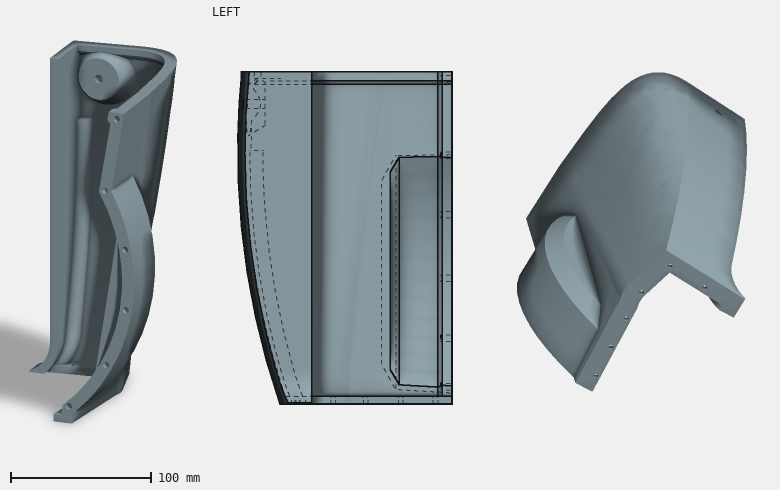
import cadquery as cq
import math

HEIGHT = 237.13
WALL = 6.4
BACK_WALL = 4.8
OVERSHOOT = 5.0
LEFT_LIMIT = -30.0

BACK_RADIUS = 555.0
BACK_APEX_Y = 152.83
BACK_APEX_Z = 181.0
BACK_REFERENCE_X = 50.0
BACK_SLOPE = (0.088, 0.106)

CORNER_X = (52.0, 49.8)
BEND_START = ((62.0, 85.0), (96.5, 57.7))
BEND_END = ((61.7, 73.5), (97.2, 48.0))
FRONT_X = (57.3, 97.7)
CORNER_HANDLE = (0.33, 0.40)
BEND_HANDLE = (0.33, 0.53)
HANDLE_SHRINK = (0.0, 0.22)
BEND_LEAN = 3.0
SECTION_COUNT = 5

LIP_EXTRA = 2.7
LIP_CHAMFER = 3.0
FRONT_LIP_DEPTH = 7.1
TOP_LIP_HEIGHT = 6.4
FLANGE_HEIGHT = 5.6
FLANGE_REACH = 15.0

LEFT_WALL = 6.6
LEFT_WALL_FRONT_Y = 100.2
FLARE_START_Z = 24.0
FLARE_REACH = 16.0
FLARE_TIP = 1.0
BEAD_SIZE = 8.5
BEAD_TOP_Z = 181.0

BULGE_RADIUS = 137.0
BULGE_RIGHT_X = 105.21
BULGE_CENTRE_Z = 111.0
BULGE_LEFT_X = 46.0
BULGE_DEPTH = 44.1
BULGE_CHAMFER = 6.4

BOSS_X = 24.0
BOSS_Z = 214.3
BOSS_FACE_Y = 133.7
BOSS_FACE_RADIUS = 15.5
BOSS_HALF_ANGLE = 31.0
BOSS_LENGTH = 19.0
BOSS_HOLE = 6.2

FRONT_HOLE = 4.7
FRONT_HOLE_DEPTH = 8.0
FRONT_HOLES_XZ = [(92.0, 232.3), (82.7, 177.6), (98.5, 135.2), (98.9, 90.0), (83.7, 47.2), (55.2, 12.7)]
FLANGE_HOLE = 3.3
FLANGE_HOLES_XY = [(13.5, 110.5), (43.3, 113.0), (51.0, 85.0), (50.3, 61.8), (48.8, 36.8), (47.2, 12.0)]


def blend(pair, z):
    """Value at height z, going straight from the bottom value to the top value."""
    share = z / HEIGHT
    return pair[0] + (pair[1] - pair[0]) * share


def blend_point(pair, z):
    bottom, top = pair
    return cq.Vector(blend((bottom[0], top[0]), z), blend((bottom[1], top[1]), z), z)


def back_y(x, z):
    """y of the outer face of the back wall."""
    drop = BACK_RADIUS - math.sqrt(BACK_RADIUS**2 - (z - BACK_APEX_Z) ** 2)
    return BACK_APEX_Y + blend(BACK_SLOPE, z) * (x - BACK_REFERENCE_X) - drop


def section(z, back_inset, side_inset, front_y, lip=0.0):
    """Closed outline at height z, moved in from the outer faces of the back and side walls."""
    corner_x = blend(CORNER_X, z)
    corner = cq.Vector(corner_x, back_y(corner_x, z), z)
    bend_start = blend_point(BEND_START, z)
    bend_end = blend_point(BEND_END, z)
    front = cq.Vector(blend(FRONT_X, z), 0, z)

    chord = bend_start - corner
    back_angle = math.atan(blend(BACK_SLOPE, z))
    chord_angle = math.atan2(chord.y, chord.x)
    leave_angle = blend((chord_angle, back_angle), z)
    leave = cq.Vector(math.cos(leave_angle), math.sin(leave_angle), 0)
    flat = (front - bend_end).normalized()
    flat_angle = math.atan2(flat.y, flat.x)
    arrive_angle = blend((chord_angle, flat_angle + math.radians(BEND_LEAN)), z)
    arrive = cq.Vector(math.cos(arrive_angle), math.sin(arrive_angle), 0)

    along_back = math.tan((back_angle - leave_angle) / 2) * side_inset
    back_direction = cq.Vector(math.cos(back_angle), math.sin(back_angle), 0)
    back_inward = cq.Vector(math.sin(back_angle), -math.cos(back_angle), 0)
    corner = corner + back_inward * back_inset - back_direction * along_back
    inward = cq.Vector(-side_inset, 0, 0)
    bend_start = bend_start + inward
    bend_end = bend_end + inward
    front = front + inward

    reach = (bend_start - corner).Length
    shrink = blend(HANDLE_SHRINK, z) * side_inset
    sweep = [
        corner,
        corner + leave * (reach * blend(CORNER_HANDLE, z) - shrink),
        bend_start - arrive * (reach * blend(BEND_HANDLE, z) - shrink),
        bend_start,
    ]
    bend = [bend_start, bend_start + arrive * ((bend_start - bend_end).Length / 2), bend_end]

    def on_flat(y, extra):
        share = (bend_end.y - y) / bend_end.y
        return bend_end + (front - bend_end) * share - cq.Vector(extra, 0, 0)

    points = [bend_end]
    if lip:
        points.append(on_flat(FRONT_LIP_DEPTH + LIP_CHAMFER, 0))
        points.append(on_flat(FRONT_LIP_DEPTH, lip))
    points.append(on_flat(front_y, lip))
    points.append(cq.Vector(LEFT_LIMIT, front_y, z))
    back_run = (corner.x - LEFT_LIMIT) / back_direction.x
    points.append(corner - back_direction * back_run)
    points.append(corner)

    edges = [cq.Edge.makeBezier(sweep), cq.Edge.makeBezier(bend)]
    edges += [cq.Edge.makeLine(a, b) for a, b in zip(points, points[1:])]
    return cq.Wire.assembleEdges(edges)


def envelope(z_low, z_high, back_inset, side_inset, front_y, lip=0.0):
    """Body bounded by the shell surface, moved in from the outer faces by the two insets."""
    step = (z_high - z_low) / (SECTION_COUNT - 1)
    wires = [section(z_low + i * step, back_inset, side_inset, front_y, lip) for i in range(SECTION_COUNT)]
    return cq.Workplane(cq.Solid.makeLoft(wires))


def shell_cavity():
    """Inside of the shell, narrowing at the top lip and the bottom flange."""
    lip_inset = WALL + LIP_EXTRA
    back_rise = lip_inset - BACK_WALL
    chamfer_z = HEIGHT - TOP_LIP_HEIGHT - LIP_EXTRA
    side_z = chamfer_z + LIP_EXTRA
    back_z = chamfer_z + back_rise
    front_y = -OVERSHOOT
    main = envelope(FLANGE_HEIGHT, chamfer_z, BACK_WALL, WALL, front_y, LIP_EXTRA)
    chamfer_wires = [
        section(chamfer_z, BACK_WALL, WALL, front_y, LIP_EXTRA),
        section(side_z, BACK_WALL + LIP_EXTRA, lip_inset, front_y, LIP_EXTRA),
        section(back_z, lip_inset, lip_inset, front_y, LIP_EXTRA),
    ]
    chamfer = cq.Workplane(cq.Solid.makeLoft(chamfer_wires, True))
    top = envelope(back_z, HEIGHT + OVERSHOOT, lip_inset, lip_inset, front_y, LIP_EXTRA)
    flange_face = cq.Face.makeFromWires(section(FLANGE_HEIGHT, FLANGE_REACH, FLANGE_REACH, front_y))
    flange_depth = cq.Vector(0, 0, -FLANGE_HEIGHT - OVERSHOOT)
    flange = cq.Workplane(cq.Solid.extrudeLinear(flange_face, flange_depth))
    return main, chamfer, top, flange


def bulge_body(profile):
    """Turn a (radius, y) profile about the bulge axis and keep the part beside the side wall."""
    centre_x = BULGE_RIGHT_X - BULGE_RADIUS
    body = (
        cq.Workplane("XY")
        .polyline([(0, profile[0][1])] + profile + [(0, profile[-1][1])])
        .close()
        .revolve(360, (0, 0, 0), (0, 1, 0))
        .translate((centre_x, 0, BULGE_CENTRE_Z))
    )
    width = BULGE_RIGHT_X - BULGE_LEFT_X + OVERSHOOT
    keep = (
        cq.Workplane("XY", origin=(BULGE_LEFT_X, 0, FLANGE_HEIGHT))
        .box(width, 2 * BACK_APEX_Y, HEIGHT - FLANGE_HEIGHT, centered=(False, True, False))
    )
    return body.intersect(keep)


def bulge_outside():
    """Outer form of the bulge, one wall thickness outside its cavity."""
    end_y = BULGE_DEPTH + WALL
    chamfer = BULGE_CHAMFER + WALL * (2 - math.sqrt(2))
    return bulge_body([(BULGE_RADIUS, 0), (BULGE_RADIUS, end_y - chamfer), (BULGE_RADIUS - chamfer, end_y)])


def bulge_cavity():
    """Inside of the bulge: front lip, wall and chamfered end."""
    inner = BULGE_RADIUS - WALL
    return bulge_body(
        [
            (inner - LIP_EXTRA, -OVERSHOOT),
            (inner - LIP_EXTRA, FRONT_LIP_DEPTH),
            (inner, FRONT_LIP_DEPTH + LIP_CHAMFER),
            (inner, BULGE_DEPTH - BULGE_CHAMFER),
            (inner - BULGE_CHAMFER, BULGE_DEPTH),
        ]
    )


FLARE_DROP = FLARE_START_Z - FLARE_TIP
FLARE_RADIUS = (FLARE_REACH**2 + FLARE_DROP**2) / (2 * FLARE_REACH)


def flare_x(z, radius):
    """x of the flare surface of the given radius; straight above the flare."""
    drop = max(FLARE_START_Z - z, 0)
    return math.sqrt(radius**2 - drop**2) - FLARE_RADIUS


def left_profile(bottom_x):
    """Open outline in the x-z plane: from bottom_x along the bottom and up the outer left side."""
    middle_z = (FLARE_START_Z + FLARE_TIP) / 2
    return (
        cq.Workplane("XZ", origin=(0, LEFT_WALL_FRONT_Y, 0))
        .moveTo(bottom_x, 0)
        .lineTo(-FLARE_REACH, 0)
        .lineTo(-FLARE_REACH, FLARE_TIP)
        .threePointArc((flare_x(middle_z, FLARE_RADIUS), middle_z), (0, FLARE_START_Z))
        .lineTo(0, HEIGHT)
    )


def left_wall(outer):
    """Upright plate curling outwards at its foot."""
    inner_radius = FLARE_RADIUS + LEFT_WALL
    middle_z = FLARE_START_Z / 2
    depth = BACK_APEX_Y + OVERSHOOT - LEFT_WALL_FRONT_Y
    profile = (
        left_profile(flare_x(0, inner_radius))
        .lineTo(LEFT_WALL, HEIGHT)
        .lineTo(LEFT_WALL, FLARE_START_Z)
        .threePointArc((flare_x(middle_z, inner_radius), middle_z), (flare_x(0, inner_radius), 0))
        .close()
    )
    return profile.extrude(-depth).intersect(outer)


def right_of_left_wall():
    """Everything to the right of the outer face of the left wall."""
    full = BACK_APEX_Y + 2 * OVERSHOOT
    profile = left_profile(BULGE_RIGHT_X).lineTo(BULGE_RIGHT_X, HEIGHT).close()
    return profile.extrude(full, both=True)


def bead_section(z):
    """Quarter-round outline at height z, sunk into both walls."""
    x = flare_x(z, FLARE_RADIUS + LEFT_WALL)
    y = back_y(x, z) - BACK_WALL
    buried = BACK_WALL / 2
    y_right = back_y(x + BEAD_SIZE, z) - BACK_WALL
    diagonal = BEAD_SIZE * math.sqrt(0.5)
    return (
        cq.Workplane("XY", origin=(0, 0, z))
        .moveTo(x - buried, y - BEAD_SIZE)
        .lineTo(x, y - BEAD_SIZE)
        .threePointArc((x + diagonal, y - diagonal), (x + BEAD_SIZE, y_right))
        .lineTo(x + BEAD_SIZE, y_right + buried)
        .lineTo(x - buried, y + buried)
        .close()
        .wires()
        .val()
    )


def bead():
    """Rounded bead in the corner of the left and back walls."""
    foot_steps = 3
    foot = [bead_section(FLARE_START_Z * i / foot_steps) for i in range(foot_steps + 1)]
    middle_z = (FLARE_START_Z + BEAD_TOP_Z) / 2
    upright = [bead_section(z) for z in (FLARE_START_Z, middle_z, BEAD_TOP_Z)]
    return cq.Workplane(cq.Solid.makeLoft(foot)).union(cq.Workplane(cq.Solid.makeLoft(upright)))


def boss(outer):
    """Cone standing on the inside of the back wall."""
    base_radius = BOSS_FACE_RADIUS + BOSS_LENGTH * math.tan(math.radians(BOSS_HALF_ANGLE))
    cone = cq.Solid.makeCone(
        BOSS_FACE_RADIUS, base_radius, BOSS_LENGTH, cq.Vector(BOSS_X, BOSS_FACE_Y, BOSS_Z), cq.Vector(0, 1, 0)
    )
    keep = cq.Workplane("XY").box(BULGE_RIGHT_X, BACK_APEX_Y, HEIGHT, centered=False)
    return cq.Workplane(cone).intersect(keep).intersect(outer)


def holes_along_y(centres, diameter, depth):
    return cq.Workplane("XZ").pushPoints(centres).circle(diameter / 2).extrude(-depth)


outer_shell = envelope(0, HEIGHT, 0, 0, 0)
body = outer_shell.union(bulge_outside())
for void in shell_cavity():
    body = body.cut(void)
body = body.cut(bulge_cavity()).intersect(right_of_left_wall())
body = body.union(left_wall(outer_shell)).union(bead()).union(boss(outer_shell))
body = body.cut(holes_along_y(FRONT_HOLES_XZ, FRONT_HOLE, FRONT_HOLE_DEPTH))
body = body.cut(holes_along_y([(BOSS_X, BOSS_Z)], BOSS_HOLE, BACK_APEX_Y + OVERSHOOT))
flange_holes = cq.Workplane("XY").pushPoints(FLANGE_HOLES_XY).circle(FLANGE_HOLE / 2).extrude(FLANGE_HEIGHT)
result = body.cut(flange_holes)